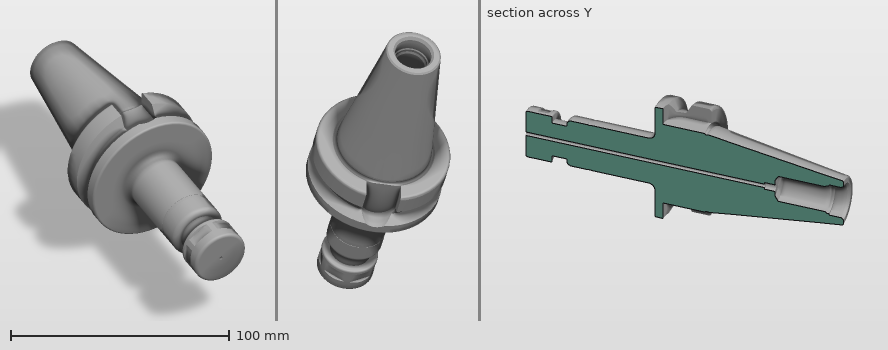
import cadquery as cq
import math


gauge_radius = 44.45 / 2
taper_length = 65.4
taper_ratio = 7 / 24
taper_start = -taper_length
taper_end_radius = gauge_radius - taper_length * taper_ratio / 2
taper_end_chamfer = 0.7

undercut_start = 0.9
undercut_throat_radius = 22.0
undercut_throat_position = 1.6
undercut_floor = 2.55
undercut_floor_radius = 23.2
undercut_outer_radius = 24.0

flange_front = 2.0
flange_back = 27.0
flange_radius = 63 / 2
flange_front_fillet = 1.5
flange_back_fillet = 1.0
groove_center = 16.6
groove_radius = 53 / 2
groove_floor_half_width = 2.1
groove_half_angle = math.radians(30)
groove_half_width = groove_floor_half_width + (flange_radius - groove_radius) * math.tan(groove_half_angle)

slot_width = 16.1
slot_end = 22.8
slot_floor = 22.6

nose_radius = 26 / 2
nose_end = 70.0
nose_root_fillet = 3.0
nose_end_fillet = 2.5
band_start = 57.9
band_end = 59.6
band_depth = 0.15

neck_radius = 19 / 2
nut_start = 76.9
nut_end = 90.0
nut_radius = 26.4 / 2
nut_start_fillet = 0.9
nut_end_fillet = 1.4
flat_count = 6
flat_distance = 12.05
flat_start = 79.3
flat_end = 84.3
flat_wall_lean = 0.5

mouth_radius = 19 / 2
mouth_depth = 1.3
pilot_radius = 17 / 2
pilot_depth = 7.1
relief_radius = 15.5 / 2
relief_depth = 8.4
thread_radius = 14 / 2
thread_start_depth = relief_depth + relief_radius - thread_radius
thread_depth = 32.0
bore_floor_radius = 8.8 / 2
drill_tip_slope = math.tan(math.radians(30))
bore_floor_depth = thread_depth + (thread_radius - bore_floor_radius) * drill_tip_slope
screw_hole_radius = 3.5 / 2
screw_hole_depth = bore_floor_depth + 5.0
through_radius = 1.7 / 2

diagonal = math.sqrt(0.5)


def round_corner(profile, center_x, center_r, radius, start, end):
    """Add a quarter arc; start and end are axis directions seen from its center."""
    mid = ((start[0] + end[0]) * diagonal, (start[1] + end[1]) * diagonal)
    return profile.lineTo(
        center_x + radius * start[0], center_r + radius * start[1]
    ).threePointArc(
        (center_x + radius * mid[0], center_r + radius * mid[1]),
        (center_x + radius * end[0], center_r + radius * end[1]),
    )


def make_body():
    """Solid of revolution holding every outside surface, from taper to nut."""
    forward, back, outward, inward = (-1, 0), (1, 0), (0, 1), (0, -1)
    chamfer_radius = taper_end_radius + taper_end_chamfer * taper_ratio / 2
    profile = (
        cq.Workplane("XY")
        .moveTo(taper_start, 0)
        .lineTo(taper_start, chamfer_radius - taper_end_chamfer)
        .lineTo(taper_start + taper_end_chamfer, chamfer_radius)
        .lineTo(0, gauge_radius)
        .lineTo(undercut_start, gauge_radius)
        .threePointArc(
            (undercut_throat_position, undercut_throat_radius),
            (undercut_floor, undercut_floor_radius),
        )
        .lineTo(flange_front, undercut_outer_radius)
    )
    profile = round_corner(
        profile, flange_front + flange_front_fillet, flange_radius - flange_front_fillet,
        flange_front_fillet, forward, outward,
    )
    profile = (
        profile.lineTo(groove_center - groove_half_width, flange_radius)
        .lineTo(groove_center - groove_floor_half_width, groove_radius)
        .lineTo(groove_center + groove_floor_half_width, groove_radius)
        .lineTo(groove_center + groove_half_width, flange_radius)
    )
    profile = round_corner(
        profile, flange_back - flange_back_fillet, flange_radius - flange_back_fillet,
        flange_back_fillet, outward, back,
    )
    profile = round_corner(
        profile, flange_back + nose_root_fillet, nose_radius + nose_root_fillet,
        nose_root_fillet, forward, inward,
    )
    profile = (
        profile.lineTo(band_start, nose_radius)
        .lineTo(band_start, nose_radius - band_depth)
        .lineTo(band_end, nose_radius - band_depth)
        .lineTo(band_end, nose_radius)
    )
    profile = round_corner(
        profile, nose_end - nose_end_fillet, nose_radius - nose_end_fillet,
        nose_end_fillet, outward, back,
    )
    profile = profile.lineTo(nose_end, neck_radius).lineTo(nut_start, neck_radius)
    profile = round_corner(
        profile, nut_start + nut_start_fillet, nut_radius - nut_start_fillet,
        nut_start_fillet, forward, outward,
    )
    profile = round_corner(
        profile, nut_end - nut_end_fillet, nut_radius - nut_end_fillet,
        nut_end_fillet, outward, back,
    )
    profile = profile.lineTo(nut_end, 0).close()
    return profile.revolve(360, (0, 0, 0), (1, 0, 0))


def make_bore():
    """Stepped drawbar bore that runs on as a small hole through the whole part."""
    bore_points = [
        (0, 0),
        (0, mouth_radius),
        (mouth_depth, pilot_radius),
        (pilot_depth, pilot_radius),
        (pilot_depth, relief_radius),
        (relief_depth, relief_radius),
        (thread_start_depth, thread_radius),
        (thread_depth, thread_radius),
        (bore_floor_depth, bore_floor_radius),
        (bore_floor_depth, screw_hole_radius),
        (screw_hole_depth, screw_hole_radius),
        (screw_hole_depth, through_radius),
        (nut_end - taper_start, through_radius),
        (nut_end - taper_start, 0),
    ]
    bore = cq.Workplane("XY").polyline(bore_points).close().revolve(360, (0, 0, 0), (1, 0, 0))
    return bore.translate((taper_start, 0, 0))


def make_drive_slot():
    """Round-ended slot on the +Z side, open toward the taper."""
    end_radius = slot_width / 2
    return (
        cq.Workplane("XY", origin=(0, 0, slot_floor))
        .moveTo(0, -end_radius)
        .lineTo(slot_end - end_radius, -end_radius)
        .threePointArc((slot_end, 0), (slot_end - end_radius, end_radius))
        .lineTo(0, end_radius)
        .close()
        .extrude(flange_radius)
    )


def make_nut_flat():
    """Wrench flat facing -Y, with end walls that lean outward."""
    return (
        cq.Workplane("XY")
        .moveTo(flat_start, -flat_distance)
        .lineTo(flat_end, -flat_distance)
        .lineTo(flat_end + flat_wall_lean, -nut_radius)
        .lineTo(flat_start - flat_wall_lean, -nut_radius)
        .close()
        .extrude(nut_radius, both=True)
    )


def turned(shape, angle):
    """Turn a shape about the part axis."""
    return shape.rotate((0, 0, 0), (1, 0, 0), angle)


result = make_body().cut(make_bore())

for slot_angle in (0, 180):
    result = result.cut(turned(make_drive_slot(), slot_angle))

for flat_index in range(flat_count):
    result = result.cut(turned(make_nut_flat(), flat_index * 360 / flat_count))